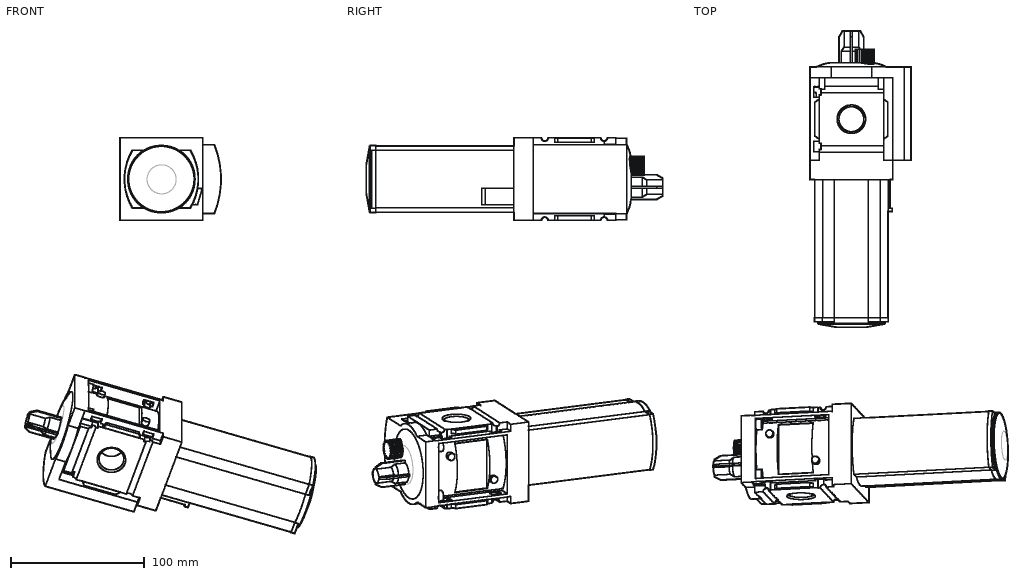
import cadquery as cq
import math


TOTAL_LENGTH = 222.0
TOTAL_WIDTH = 75.7

BODY_SIZE = 62.0
BODY_HALF = BODY_SIZE / 2
COLLAR_LENGTH = 14.7
BODY_END = 76.4
CORE_HALF_WIDTH = 24.2
EAR_HALF_HEIGHT = 25.5

PLATE_END = 84.4
PLATE_HALF_HEIGHT = 25.8
BULGE_HALF_WIDTH = 15.0
BULGE_HEIGHT = 30.6
GAUGE_START = 14.5
GAUGE_EDGE_X = 39.7
GAUGE_CROWN_X = TOTAL_WIDTH - BODY_HALF

PORT_Y = 45.3
PORT_DIAMETER = 18.6
PORT_CHAMFER = 1.3
PORT_DEPTH = 22.2
GROOVE_RADIUS = 2.5
GROOVE_OFFSET = 22.2
CORNER_FLOOR_Z = 26.2
CORNER_STEP_X = 20.0
CORNER_STEP_Y = 67.7

LUG_REACH = 3.0
LUG_HALF_LENGTH = 14.9
LUG_TAPER = 2.2
LUG_BOTTOM_Z = 27.5
LUG_TOP_Z = 30.6

SLOT_OUTER_X = -28.0
SLOT_LENGTH = 7.8
SLOT_OFFSET = 20.5
SLOT_NECK_X = -22.6
SLOT_NECK_LENGTH = 4.5

WINDOW_START = 17.3
WINDOW_END = 73.5
WINDOW_HALF_HEIGHT = 23.0
WINDOW_FLOOR_X = -20.9
DRUM_CROWN_X = -28.6
DRUM_EDGE_X = -22.9
DRUM_HALF_HEIGHT = 21.0
PAD_START = 30.6
PAD_END = 57.3
PAD_HALF_HEIGHT = 19.0
PAD_FLOOR_X = -22.6
PIN_DIAMETER = 5.5
PIN_TIP_X = -30.2
PIN_PLACES = [(62.8, 11.0), (27.8, -10.9)]
POST_RADIUS = 4.0
POST_Z = 19.3
POST_LENGTH = 4.2
POST_X = -26.2

BOWL_DIAMETER = 50.5
BOWL_RADIUS = BOWL_DIAMETER / 2
BARREL_HALF_WIDTH = 27.8
BARREL_FLAT_HALF = 21.8
BARREL_END = -106.3
RIM_START = -103.5
RIM_INSET = 0.2
RIM_END = -107.5
RIM_BEVEL = 0.7
BOWL_END = -110.5
TIP_RADIUS = 10.9

LEVER_LENGTH = 24.0
LEVER_THICKNESS = 3.8
LEVER_LIP_LENGTH = 2.7
LEVER_LIP_THICKNESS = 5.3
LEVER_TOP = (25.3, -6.9)
LEVER_BOTTOM = (21.8, -19.0)

DOME_RADIUS = 26.5
DOME_FLAT_RADIUS = 14.7
DOME_MID = (20.9, 86.5)
DOME_TOP = 87.7
KNOB_Z = -6.0
KNOB_END = BOWL_END + TOTAL_LENGTH
KNOB_BASE_RADIUS = 7.5
KNOB_BASE_END = 96.1
KNOB_NECK_RADIUS = 5.5
KNOB_NECK_START = 99.2
FIN_RADIUS = 9.3
FIN_THICKNESS = 1.5
FIN_CORNER_WIDTH = 2.7
FIN_CORNER_LENGTH = 4.7
BUTTON_X = 10.0
BUTTON_Z = 10.0
BUTTON_END = 97.7
BUTTON_RADIUS = 7.0
BUTTON_TEETH = 18
TOOTH_DEPTH = 1.0

OVERLAP = 1.0


def block(x0, x1, y0, y1, z0, z1):
    """Box between two corners."""
    return cq.Workplane("XY").box(x1 - x0, y1 - y0, z1 - z0, centered=False).translate((x0, y0, z0))


def section(y):
    """Workplane at height y whose local axes are X and Z; positive extrusion runs toward -Y."""
    return cq.Workplane("XZ", origin=(0, y, 0))


def both_port_faces(shape):
    """The shape together with its mirror image below the XY plane."""
    return shape.union(shape.mirror("XY"))


def make_body():
    collar = block(-BODY_HALF, BODY_HALF, 0, COLLAR_LENGTH, -BODY_HALF, BODY_HALF)
    core = block(-CORE_HALF_WIDTH, CORE_HALF_WIDTH, 0, BODY_END, -BODY_HALF, BODY_HALF)
    ears = block(-BODY_HALF, BODY_HALF, 0, BODY_END, -EAR_HALF_HEIGHT, EAR_HALF_HEIGHT)
    return collar.union(core).union(ears)


def make_front_plate():
    plate = (
        section(PLATE_END)
        .moveTo(-BODY_HALF, -PLATE_HALF_HEIGHT)
        .lineTo(-BULGE_HALF_WIDTH, -PLATE_HALF_HEIGHT)
        .threePointArc((0, -BULGE_HEIGHT), (BULGE_HALF_WIDTH, -PLATE_HALF_HEIGHT))
        .lineTo(BODY_HALF, -PLATE_HALF_HEIGHT)
        .lineTo(BODY_HALF, PLATE_HALF_HEIGHT)
        .lineTo(BULGE_HALF_WIDTH, PLATE_HALF_HEIGHT)
        .threePointArc((0, BULGE_HEIGHT), (-BULGE_HALF_WIDTH, PLATE_HALF_HEIGHT))
        .lineTo(-BODY_HALF, PLATE_HALF_HEIGHT)
        .close()
        .extrude(PLATE_END - BODY_END)
    )
    gauge = (
        section(PLATE_END)
        .moveTo(BODY_HALF, -PLATE_HALF_HEIGHT)
        .lineTo(GAUGE_EDGE_X, -PLATE_HALF_HEIGHT)
        .threePointArc((GAUGE_CROWN_X, 0), (GAUGE_EDGE_X, PLATE_HALF_HEIGHT))
        .lineTo(BODY_HALF, PLATE_HALF_HEIGHT)
        .close()
        .extrude(PLATE_END - GAUGE_START)
    )
    return plate.union(gauge)


def make_port_face_cuts():
    mouth_radius = PORT_DIAMETER / 2 + PORT_CHAMFER
    cuts = (
        cq.Workplane("XZ", origin=(0, PORT_Y, BODY_HALF))
        .moveTo(0, 0)
        .lineTo(mouth_radius, 0)
        .lineTo(PORT_DIAMETER / 2, -PORT_CHAMFER)
        .lineTo(PORT_DIAMETER / 2, -PORT_DEPTH)
        .lineTo(0, -PORT_DEPTH)
        .close()
        .revolve(360, (0, 0, 0), (0, 1, 0))
    )
    for side in (-1, 1):
        groove = (
            cq.Workplane("YZ", origin=(0, PORT_Y + side * GROOVE_OFFSET, BODY_HALF))
            .circle(GROOVE_RADIUS)
            .extrude(2 * CORE_HALF_WIDTH)
            .translate((-CORE_HALF_WIDTH, 0, 0))
        )
        inner, outer = sorted((side * CORNER_STEP_X, side * CORE_HALF_WIDTH))
        corner = block(inner, outer, CORNER_STEP_Y, BODY_END, CORNER_FLOOR_Z, BODY_HALF)
        cuts = cuts.union(groove).union(corner)
    return both_port_faces(cuts)


def make_lugs():
    tip_x = CORE_HALF_WIDTH + LUG_REACH
    tip_half = LUG_HALF_LENGTH - LUG_TAPER
    lugs = (
        cq.Workplane("XY", origin=(0, PORT_Y, LUG_BOTTOM_Z))
        .moveTo(-CORE_HALF_WIDTH, LUG_HALF_LENGTH)
        .lineTo(CORE_HALF_WIDTH, LUG_HALF_LENGTH)
        .lineTo(tip_x, tip_half)
        .lineTo(tip_x, -tip_half)
        .lineTo(CORE_HALF_WIDTH, -LUG_HALF_LENGTH)
        .lineTo(-CORE_HALF_WIDTH, -LUG_HALF_LENGTH)
        .lineTo(-tip_x, -tip_half)
        .lineTo(-tip_x, tip_half)
        .close()
        .extrude(LUG_TOP_Z - LUG_BOTTOM_Z)
    )
    return both_port_faces(lugs)


def make_ear_slots():
    slots = cq.Workplane("XY")
    slot_bottom = WINDOW_HALF_HEIGHT - OVERLAP
    for side in (-1, 1):
        y = PORT_Y + side * SLOT_OFFSET
        for inner_x, length in ((-CORE_HALF_WIDTH, SLOT_LENGTH), (SLOT_NECK_X, SLOT_NECK_LENGTH)):
            slot = block(SLOT_OUTER_X, inner_x, y - length / 2, y + length / 2, slot_bottom, BODY_HALF)
            slots = slots.union(slot)
    return both_port_faces(slots)


def make_window():
    return block(
        -BODY_HALF, WINDOW_FLOOR_X, WINDOW_START, WINDOW_END, -WINDOW_HALF_HEIGHT, WINDOW_HALF_HEIGHT
    )


def make_window_parts():
    drum = (
        section(WINDOW_END)
        .moveTo(WINDOW_FLOOR_X + OVERLAP, -DRUM_HALF_HEIGHT)
        .lineTo(DRUM_EDGE_X, -DRUM_HALF_HEIGHT)
        .threePointArc((DRUM_CROWN_X, 0), (DRUM_EDGE_X, DRUM_HALF_HEIGHT))
        .lineTo(WINDOW_FLOOR_X + OVERLAP, DRUM_HALF_HEIGHT)
        .close()
        .extrude(WINDOW_END - WINDOW_START)
    )
    pad = block(-BODY_HALF, PAD_FLOOR_X, PAD_START, PAD_END, -PAD_HALF_HEIGHT, PAD_HALF_HEIGHT)
    pins = (
        cq.Workplane("YZ", origin=(PIN_TIP_X, 0, 0))
        .pushPoints(PIN_PLACES)
        .circle(PIN_DIAMETER / 2)
        .extrude(WINDOW_FLOOR_X - PIN_TIP_X)
    )
    posts = (
        section(WINDOW_END)
        .pushPoints([(POST_X, -POST_Z), (POST_X, POST_Z)])
        .circle(POST_RADIUS)
        .extrude(POST_LENGTH)
    )
    return drum.cut(pad).union(pins).union(posts)


def barrel_stage(start, end, inset):
    """Length of the flat-sided barrel, drawn in by the inset on every side."""
    half_width = BARREL_HALF_WIDTH - inset
    flat = BARREL_FLAT_HALF - inset
    return (
        section(start)
        .moveTo(-flat, -flat)
        .lineTo(flat, -flat)
        .threePointArc((half_width, 0), (flat, flat))
        .lineTo(-flat, flat)
        .threePointArc((-half_width, 0), (-flat, -flat))
        .close()
        .extrude(start - end)
    )


def make_bowl():
    barrel = barrel_stage(0, RIM_START, RIM_INSET)
    rim = barrel_stage(RIM_START, BARREL_END, 0)
    cup = (
        cq.Workplane("XY")
        .moveTo(0, 0)
        .lineTo(BOWL_RADIUS - RIM_INSET, 0)
        .lineTo(BOWL_RADIUS - RIM_INSET, RIM_START)
        .lineTo(BOWL_RADIUS, RIM_START)
        .lineTo(BOWL_RADIUS, RIM_END)
        .lineTo(BOWL_RADIUS - RIM_BEVEL, RIM_END - RIM_BEVEL)
        .lineTo(TIP_RADIUS, BOWL_END)
        .lineTo(0, BOWL_END)
        .close()
        .revolve(360, (0, 0, 0), (0, 1, 0))
    )
    return barrel.union(rim).union(cup)


def lever_strip(y, length, thickness):
    """Slanted strip that starts at height y and runs toward -Y."""
    return (
        section(y)
        .moveTo(*LEVER_TOP)
        .lineTo(LEVER_TOP[0] + thickness, LEVER_TOP[1])
        .lineTo(LEVER_BOTTOM[0] + thickness, LEVER_BOTTOM[1])
        .lineTo(*LEVER_BOTTOM)
        .close()
        .extrude(length)
    )


def make_lever():
    strip = lever_strip(0, LEVER_LENGTH, LEVER_THICKNESS)
    lip = lever_strip(LEVER_LIP_LENGTH - LEVER_LENGTH, LEVER_LIP_LENGTH, LEVER_LIP_THICKNESS)
    return strip.union(lip)


def make_dome():
    return (
        cq.Workplane("XY")
        .moveTo(0, PLATE_END)
        .lineTo(DOME_RADIUS, PLATE_END)
        .threePointArc(DOME_MID, (DOME_FLAT_RADIUS, DOME_TOP))
        .lineTo(0, DOME_TOP)
        .close()
        .revolve(360, (0, 0, 0), (0, 1, 0))
    )


def make_knob():
    core = (
        cq.Workplane("XY")
        .moveTo(0, PLATE_END)
        .lineTo(KNOB_BASE_RADIUS, PLATE_END)
        .lineTo(KNOB_BASE_RADIUS, KNOB_BASE_END)
        .lineTo(KNOB_NECK_RADIUS, KNOB_NECK_START)
        .lineTo(KNOB_NECK_RADIUS, KNOB_END)
        .lineTo(0, KNOB_END)
        .close()
        .revolve(360, (0, 0, 0), (0, 1, 0))
    )
    tip_half = FIN_RADIUS - FIN_CORNER_WIDTH
    fin = (
        cq.Workplane("XY")
        .moveTo(-FIN_RADIUS, PLATE_END)
        .lineTo(FIN_RADIUS, PLATE_END)
        .lineTo(FIN_RADIUS, KNOB_END - FIN_CORNER_LENGTH)
        .lineTo(tip_half, KNOB_END)
        .lineTo(-tip_half, KNOB_END)
        .lineTo(-FIN_RADIUS, KNOB_END - FIN_CORNER_LENGTH)
        .close()
        .extrude(FIN_THICKNESS / 2, both=True)
    )
    cross_fin = fin.rotate((0, 0, 0), (0, 1, 0), 90)
    return core.union(fin).union(cross_fin).translate((0, 0, KNOB_Z))


def make_button():
    pitch = 2 * math.pi / BUTTON_TEETH
    outline = []
    for tooth in range(BUTTON_TEETH):
        for step, radius in enumerate((BUTTON_RADIUS, BUTTON_RADIUS, BUTTON_RADIUS - TOOTH_DEPTH)):
            angle = (tooth + step / 3) * pitch
            outline.append((BUTTON_X + radius * math.cos(angle), BUTTON_Z + radius * math.sin(angle)))
    return section(BUTTON_END).polyline(outline).close().extrude(BUTTON_END - PLATE_END)


body = make_body().union(make_lugs()).cut(make_port_face_cuts())
body = body.cut(make_ear_slots()).cut(make_window()).union(make_window_parts())
body = body.union(make_front_plate()).union(make_dome())
body = body.union(make_bowl()).union(make_lever())
result = body.union(make_knob()).union(make_button())